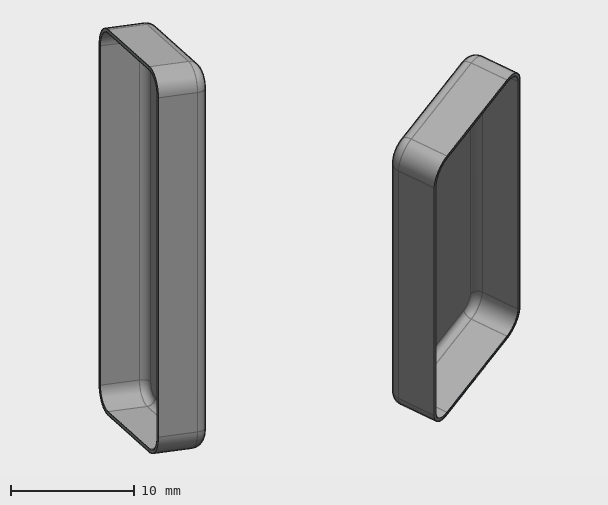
import cadquery as cq

width = 13.3
depth = 4.4
height = 33.3

wall = 0.3
corner_radius = 2.0
back_edge_radius = 1.0


def rounded_block(inset):
    """Solid with rounded corners and back edge, inset from the tray's sides and back."""
    return (
        cq.Workplane("XZ")
        .rect(width - 2 * inset, height - 2 * inset)
        .extrude(-(depth - inset))
        .edges("|Y")
        .fillet(corner_radius - inset)
        .faces(">Y")
        .edges()
        .fillet(back_edge_radius - inset)
    )


result = rounded_block(0).cut(rounded_block(wall))